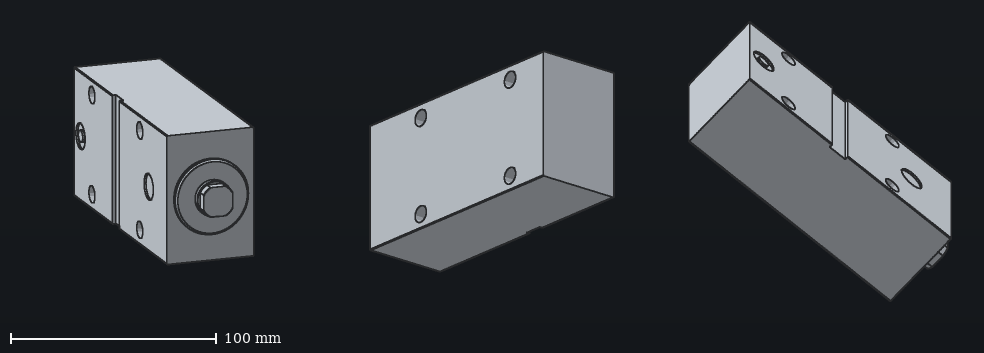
import cadquery as cq

BLOCK_LENGTH = 130.0
BLOCK_DEPTH = 45.0
BLOCK_HEIGHT = 65.0
EDGE_CHAMFER = 0.4

SLOT_START = 53.3
SLOT_WIDTH = 10.0
SLOT_DEPTH = 2.0

BOLT_HOLE_DIAMETER = 8.5
BOLT_FIRST_X = 25.0
BOLT_PITCH_X = 67.0
BOLT_PITCH_Z = 50.0

PORT_DIAMETER = 13.0
PORT_DEPTH = 1.0
REAR_PORT_X = 9.0
FRONT_PORT_X = 104.5
PORT_BOSS_DIAMETER = 6.0
PORT_BOSS_HEIGHT = PORT_DEPTH

GLAND_DIAMETER = 37.9
GLAND_THICKNESS = 3.0
GLAND_CHAMFER = 1.0

COLLAR_DIAMETER = 18.0
COLLAR_LENGTH = 3.0
COLLAR_CHAMFER = 0.3
TIP_DIAMETER = 16.9
TIP_LENGTH = 5.1
TIP_CHAMFER = 0.1
TIP_ACROSS_FLATS = 15.0

AXIS_Y = BLOCK_DEPTH / 2


def rod_along_x(start, diameter, length):
    """Cylinder on the rod axis, running from X = start toward +X."""
    return (
        cq.Workplane("YZ", origin=(start, AXIS_Y, 0))
        .circle(diameter / 2)
        .extrude(length)
    )


def rod_along_y(x, z, diameter, start, length):
    """Cylinder at (x, z), running from Y = start toward +Y."""
    return (
        cq.Workplane("XZ", origin=(x, start, z))
        .circle(diameter / 2)
        .extrude(-length)
    )


def make_block():
    block = cq.Workplane("XY").box(
        BLOCK_LENGTH, BLOCK_DEPTH, BLOCK_HEIGHT, centered=(False, False, True)
    )
    block = block.edges("|X").chamfer(EDGE_CHAMFER)

    slot = cq.Workplane("XY", origin=(SLOT_START, 0, 0)).box(
        SLOT_WIDTH, SLOT_DEPTH, BLOCK_HEIGHT, centered=(False, False, True)
    )
    block = block.cut(slot)

    for x in (BOLT_FIRST_X, BOLT_FIRST_X + BOLT_PITCH_X):
        for z in (-BOLT_PITCH_Z / 2, BOLT_PITCH_Z / 2):
            block = block.cut(rod_along_y(x, z, BOLT_HOLE_DIAMETER, 0, BLOCK_DEPTH))

    for x in (REAR_PORT_X, FRONT_PORT_X):
        block = block.cut(rod_along_y(x, 0, PORT_DIAMETER, 0, PORT_DEPTH))
    boss_start = PORT_DEPTH - PORT_BOSS_HEIGHT
    boss = rod_along_y(REAR_PORT_X, 0, PORT_BOSS_DIAMETER, boss_start, PORT_BOSS_HEIGHT)
    return block.union(boss)


def make_gland():
    gland = rod_along_x(BLOCK_LENGTH, GLAND_DIAMETER, GLAND_THICKNESS)
    return gland.faces(">X").chamfer(GLAND_CHAMFER)


def make_rod_end():
    collar_start = BLOCK_LENGTH + GLAND_THICKNESS
    collar = rod_along_x(collar_start, COLLAR_DIAMETER, COLLAR_LENGTH)
    collar = collar.faces(">X").chamfer(COLLAR_CHAMFER)

    tip_start = collar_start + COLLAR_LENGTH
    tip = rod_along_x(tip_start, TIP_DIAMETER, TIP_LENGTH)
    tip = tip.faces(">X").chamfer(TIP_CHAMFER)
    flats = (
        cq.Workplane("YZ", origin=(tip_start, AXIS_Y, 0))
        .rect(TIP_ACROSS_FLATS, TIP_ACROSS_FLATS)
        .extrude(TIP_LENGTH)
    )
    return collar.union(tip.intersect(flats))


block = make_block()
gland = make_gland()
rod_end = make_rod_end()

result = cq.Compound.makeCompound([block.val(), gland.val(), rod_end.val()])